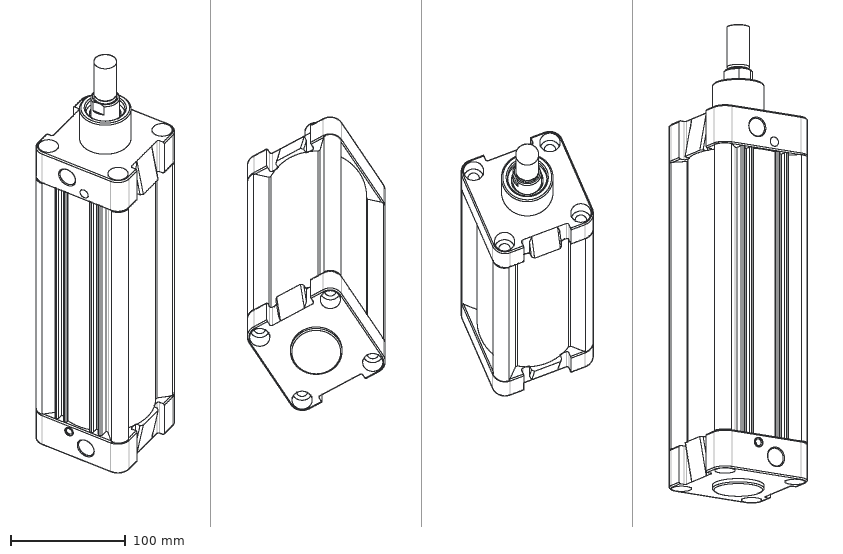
import cadquery as cq

TOTAL_LENGTH = 418.0
COVER_BASE = 4.0
COVER_HEIGHT = 34.5
FRONT_COVER_TOP = 332.5
COLLAR_TOP = 366.0
ROD_SHOULDER = 378.5
THREAD_START = 382.0
REAR_COVER_TOP = COVER_BASE + COVER_HEIGHT
FRONT_COVER_BASE = FRONT_COVER_TOP - COVER_HEIGHT
BARREL_LENGTH = FRONT_COVER_BASE - REAR_COVER_TOP

COVER_WIDTH = 94.0
COVER_HALF = COVER_WIDTH / 2
COVER_CORNER_RADIUS = 11.5
EDGE_CHAMFER = 1.3

BARREL_HALF = 47.0
BULGE_RADIUS = 44.0
VALLEY_HALF = 36.8
BOLT_OFFSET = 36.0
COLUMN_RADIUS = BARREL_HALF - BOLT_OFFSET

RAIL_OFFSET = 18.0
RAIL_WIDTH = 12.5
RAIL_TOP = 45.0
RAIL_CHAMFER = 1.3
RAIL_FOOT_RADIUS = 4.0
GROOVE_WIDTH = 5.0
GROOVE_DEPTH = 6.3

BOLT_HOLE_RADIUS = 3.8
BOLT_SEAT_RADIUS = 5.0
BOLT_HEAD_RADIUS = 8.8
BOLT_HEAD_DEPTH = 16.7

SLOT_HALF_WIDTH = 22.0
SLOT_DEPTH = 6.5
SLOT_FLOOR_RADIUS = 1.5
SLOT_FLOOR = COVER_HALF - SLOT_DEPTH
WEDGE_HALF_WIDTH = 14.2
WEDGE_CHAMFER = 2.0

PORT_RADIUS = 8.0
PORT_CHAMFER = 1.0
PORT_OFFSET = 9.5
PORT_INSET = 16.5
SCREW_RADIUS = 4.0
SCREW_OFFSET = 8.0
SCREW_INSET = 27.0
REAR_SCREW_DEPTH = 1.0
REAR_SCREW_BORE_RADIUS = 3.0
REAR_SCREW_BORE_DEPTH = 8.5
CHAMBER_RADIUS = 16.5
CHAMBER_HEIGHT = 18.5

COLLAR_RADIUS = 22.5
RECESS_RADIUS = 17.0
RECESS_DEPTH = 6.3
SEAL_GAP_RADIUS = 14.0
SEAL_GAP_DEPTH = 9.0
ROD_RADIUS = 12.5
THREAD_RADIUS = 10.0
NECK_RADIUS = 8.8
FLATS_WIDTH = 22.0
FLATS_CLEARANCE = 2.0
FLATS_BASE = COLLAR_TOP + FLATS_CLEARANCE


def disc(radius, bottom, top):
    return cq.Workplane("XY", origin=(0, 0, bottom)).circle(radius).extrude(top - bottom)


def block(x_min, x_max, y_min, y_max, height):
    """Upright block standing on Z = 0."""
    size = (x_max - x_min, y_max - y_min, height)
    return cq.Workplane("XY", origin=(x_min, y_min, 0)).box(*size, centered=False)


def turned(shape, angle):
    return shape.rotate((0, 0, 0), (0, 0, 1), angle)


def bolt_bores(radius, depth):
    """Four upright bores on the tie bolt axes, starting at Z = 0."""
    spacing = 2 * BOLT_OFFSET
    corners = cq.Workplane("XY").rect(spacing, spacing, forConstruction=True).vertices()
    return corners.circle(radius).extrude(depth)


def side_bore(radius, x, z, depth):
    """Bore into the -Y face of a cover."""
    return cq.Workplane("XZ", origin=(x, -COVER_HALF, z)).circle(radius).extrude(-depth)


def make_barrel():
    """Bulged body with a column at each corner; 45 degree flanks lead to the columns."""
    barrel = disc(BULGE_RADIUS, 0, BARREL_LENGTH)
    barrel = barrel.union(block(-VALLEY_HALF, VALLEY_HALF, -VALLEY_HALF, VALLEY_HALF, BARREL_LENGTH))
    column = (
        cq.Workplane("XY")
        .lineTo(COLUMN_RADIUS, 0)
        .lineTo(BARREL_HALF, BOLT_OFFSET)
        .radiusArc((BOLT_OFFSET, BARREL_HALF), -COLUMN_RADIUS)
        .lineTo(0, COLUMN_RADIUS)
        .close()
        .extrude(BARREL_LENGTH)
    )
    for turn in (0, 90, 180, 270):
        barrel = barrel.union(turned(column, turn))
    valley_edge = VALLEY_HALF - COLUMN_RADIUS
    for side in (-1, 1):
        foot = (side * valley_edge, -VALLEY_HALF, BARREL_LENGTH / 2)
        barrel = barrel.edges(cq.selectors.NearestToPointSelector(foot)).fillet(RAIL_FOOT_RADIUS)
    for side in (-1, 1):
        barrel = barrel.union(make_rail().translate((side * RAIL_OFFSET, 0, 0)))
        barrel = barrel.cut(make_groove().translate((side * RAIL_OFFSET, 0, 0)))
    return barrel.translate((0, 0, REAR_COVER_TOP))


def make_rail():
    rail = block(-RAIL_WIDTH / 2, RAIL_WIDTH / 2, -RAIL_TOP, -VALLEY_HALF / 2, BARREL_LENGTH)
    return rail.faces("<Y").edges("|Z").chamfer(RAIL_CHAMFER)


def make_groove():
    """Groove cutter whose mouth flares out by the rail chamfer."""
    half = GROOVE_WIDTH / 2
    return (
        cq.Workplane("XY")
        .moveTo(-half, GROOVE_DEPTH - RAIL_TOP)
        .lineTo(half, GROOVE_DEPTH - RAIL_TOP)
        .lineTo(half, RAIL_CHAMFER - RAIL_TOP)
        .lineTo(half + RAIL_CHAMFER, -RAIL_TOP)
        .lineTo(-half - RAIL_CHAMFER, -RAIL_TOP)
        .lineTo(-half, RAIL_CHAMFER - RAIL_TOP)
        .close()
        .extrude(BARREL_LENGTH)
    )


def make_slot():
    """Cutter for the +X slot, with rounded floor corners."""
    slot = block(SLOT_FLOOR, COVER_HALF, -SLOT_HALF_WIDTH, SLOT_HALF_WIDTH, COVER_HEIGHT)
    return slot.faces("<X").edges("|Z").fillet(SLOT_FLOOR_RADIUS)


def make_wedge():
    """Wedge in the +X slot, rising from the slot floor at the outer face to the full cover width."""
    root = SLOT_FLOOR - SLOT_DEPTH
    return (
        cq.Workplane("XZ")
        .moveTo(root, 0)
        .lineTo(SLOT_FLOOR, 0)
        .lineTo(COVER_HALF, COVER_HEIGHT)
        .lineTo(root, COVER_HEIGHT)
        .close()
        .extrude(WEDGE_HALF_WIDTH, both=True)
        .edges("not (|X or |Y or |Z)").chamfer(WEDGE_CHAMFER)
    )


def make_cover():
    """Cover without side holes, outer face on Z = 0 and barrel face at COVER_HEIGHT."""
    cover = (
        cq.Workplane("XY").rect(COVER_WIDTH, COVER_WIDTH).extrude(COVER_HEIGHT)
        .edges("|Z").fillet(COVER_CORNER_RADIUS)
        .faces("<Z or >Z").edges().chamfer(EDGE_CHAMFER)
    )
    for turn in (0, 180):
        cover = cover.cut(turned(make_slot(), turn)).union(turned(make_wedge(), turn))
    cover = cover.cut(bolt_bores(BOLT_SEAT_RADIUS, COVER_HEIGHT))
    return cover.cut(bolt_bores(BOLT_HEAD_RADIUS, BOLT_HEAD_DEPTH))


def add_port(cover):
    """Port with a chamfered mouth, reaching the cylinder axis."""
    port = side_bore(PORT_RADIUS, PORT_OFFSET, PORT_INSET, COVER_HALF)
    mouth = (
        cq.Workplane("XZ", origin=(PORT_OFFSET, -COVER_HALF, PORT_INSET))
        .circle(PORT_RADIUS + PORT_CHAMFER)
        .workplane(offset=-PORT_CHAMFER)
        .circle(PORT_RADIUS)
        .loft()
    )
    return cover.cut(port).cut(mouth)


def make_rear_cover():
    cover = add_port(make_cover())
    chamber_base = PORT_INSET - CHAMBER_HEIGHT / 2
    cover = cover.cut(disc(CHAMBER_RADIUS, chamber_base, chamber_base + CHAMBER_HEIGHT))
    cover = cover.cut(side_bore(SCREW_RADIUS, -SCREW_OFFSET, SCREW_INSET, REAR_SCREW_DEPTH))
    cover = cover.cut(side_bore(REAR_SCREW_BORE_RADIUS, -SCREW_OFFSET, SCREW_INSET, REAR_SCREW_BORE_DEPTH))
    return cover.translate((0, 0, COVER_BASE))


def make_front_cover():
    """The front cover is turned over; its two side holes run in to the rod."""
    cover = add_port(make_cover())
    cover = cover.cut(side_bore(SCREW_RADIUS, -SCREW_OFFSET, SCREW_INSET, COVER_HALF))
    return cover.rotate((0, 0, 0), (0, 1, 0), 180).translate((0, 0, FRONT_COVER_TOP))


def make_collar():
    collar = disc(COLLAR_RADIUS, FRONT_COVER_TOP, COLLAR_TOP)
    collar = collar.cut(disc(RECESS_RADIUS, COLLAR_TOP - RECESS_DEPTH, COLLAR_TOP))
    collar = collar.faces(">Z").edges().chamfer(EDGE_CHAMFER)
    return collar.cut(disc(SEAL_GAP_RADIUS, COLLAR_TOP - SEAL_GAP_DEPTH, COLLAR_TOP))


def make_rod():
    """Rod with two wrench flats below a V-shaped neck and a plain thread body."""
    shoulder_radius = ROD_RADIUS - EDGE_CHAMFER
    rod = (
        cq.Workplane("XZ")
        .moveTo(0, FRONT_COVER_BASE)
        .lineTo(ROD_RADIUS, FRONT_COVER_BASE)
        .lineTo(ROD_RADIUS, ROD_SHOULDER - EDGE_CHAMFER)
        .lineTo(shoulder_radius, ROD_SHOULDER)
        .lineTo(THREAD_RADIUS, ROD_SHOULDER)
        .lineTo(NECK_RADIUS, (ROD_SHOULDER + THREAD_START) / 2)
        .lineTo(THREAD_RADIUS, THREAD_START)
        .lineTo(THREAD_RADIUS, TOTAL_LENGTH)
        .lineTo(0, TOTAL_LENGTH)
        .close()
        .revolve(360, (0, 0, 0), (0, 1, 0))
    )
    flat_y = FLATS_WIDTH / 2
    flat = block(-ROD_RADIUS, ROD_RADIUS, flat_y, ROD_RADIUS, ROD_SHOULDER - FLATS_BASE)
    flat = flat.translate((0, 0, FLATS_BASE))
    return rod.cut(flat).cut(turned(flat, 180))


rear_boss = disc(COLLAR_RADIUS, 0, COVER_BASE).faces("<Z").edges().chamfer(EDGE_CHAMFER)

result = make_barrel().union(make_rear_cover()).union(make_front_cover())
result = result.union(rear_boss).union(make_collar()).union(make_rod())
result = result.cut(bolt_bores(BOLT_HOLE_RADIUS, TOTAL_LENGTH))